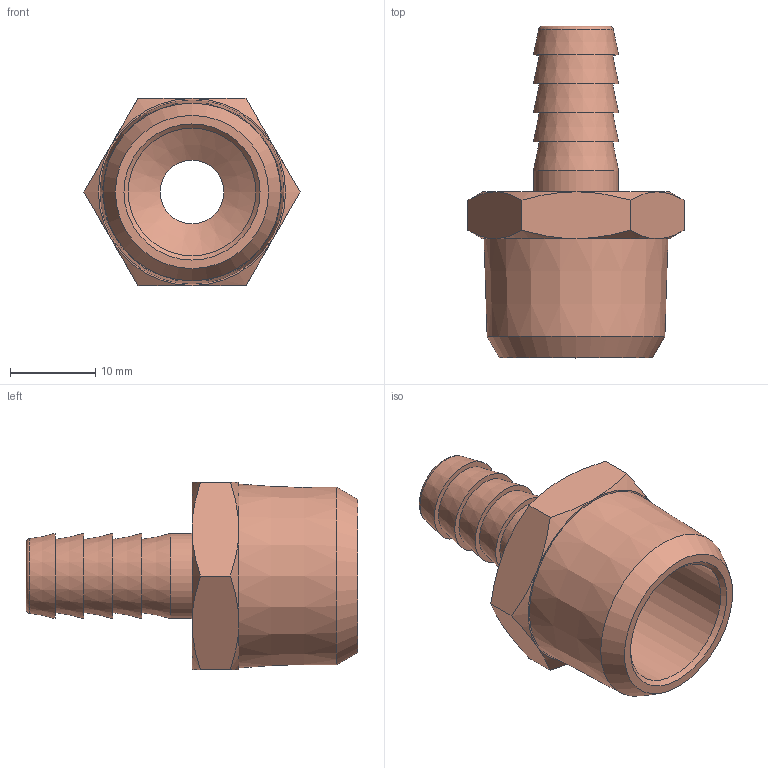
import cadquery as cq
import math


thread_length = 14.0
hex_thickness = 5.5
barb_pitch = 3.4
barb_count = 5
collar_length = 2.5

mouth_diameter = 18.0
lead_in_length = 2.5
lead_in_angle = 30.0
taper_on_diameter = 1 / 16

across_flats = 22.0
hex_chamfer_angle = 30.0

crest_diameter = 10.0
root_diameter = 8.6
tip_fillet = 0.5

bore_diameter = 15.0
bore_depth = 14.0
bore_floor_angle = 118.0
bore_mouth_chamfer = 0.5
hose_bore_diameter = 7.5

hex_start = thread_length
hex_end = hex_start + hex_thickness
collar_end = hex_end + collar_length
tip_end = collar_end + barb_count * barb_pitch


def revolve_profile(points):
    """Revolve a closed (radius, y) outline about the Y axis."""
    return cq.Workplane("XY").polyline(points).close().revolve(360, (0, 0, 0), (0, 1, 0))


def male_end():
    mouth_radius = mouth_diameter / 2
    front_radius = mouth_radius + lead_in_length * math.tan(math.radians(lead_in_angle))
    back_radius = front_radius + (thread_length - lead_in_length) * taper_on_diameter / 2
    return revolve_profile([
        (0, 0),
        (mouth_radius, 0),
        (front_radius, lead_in_length),
        (back_radius, hex_start),
        (0, hex_start),
    ])


def hexagon():
    """Hexagonal nut with corners on the X axis, both ends chamfered down to the flats."""
    flat_radius = across_flats / 2
    corner_radius = flat_radius / math.cos(math.pi / 6)
    prism = (
        cq.Workplane("XZ", origin=(0, hex_end, 0))
        .polygon(6, 2 * corner_radius)
        .extrude(hex_thickness)
    )
    chamfer_height = (corner_radius - flat_radius) * math.tan(math.radians(hex_chamfer_angle))
    envelope = revolve_profile([
        (0, hex_start),
        (flat_radius, hex_start),
        (corner_radius, hex_start + chamfer_height),
        (corner_radius, hex_end - chamfer_height),
        (flat_radius, hex_end),
        (0, hex_end),
    ])
    return prism.intersect(envelope)


def hose_barb():
    """Collar followed by barbs that each narrow from crest to root towards the tip."""
    crest_radius = crest_diameter / 2
    root_radius = root_diameter / 2
    points = [(0, hex_end), (crest_radius, hex_end)]
    for index in range(barb_count):
        barb_start = collar_end + index * barb_pitch
        points.append((crest_radius, barb_start))
        points.append((root_radius, barb_start + barb_pitch))
    points.append((0, tip_end))
    return revolve_profile(points).faces(">Y").edges().fillet(tip_fillet)


def bores():
    """Wide bore with chamfered mouth and conical floor, leading into the hose bore."""
    bore_radius = bore_diameter / 2
    hose_bore_radius = hose_bore_diameter / 2
    floor_height = (bore_radius - hose_bore_radius) / math.tan(math.radians(bore_floor_angle / 2))
    return revolve_profile([
        (0, 0),
        (bore_radius + bore_mouth_chamfer, 0),
        (bore_radius, bore_mouth_chamfer),
        (bore_radius, bore_depth),
        (hose_bore_radius, bore_depth + floor_height),
        (hose_bore_radius, tip_end),
        (0, tip_end),
    ])


result = male_end().union(hexagon()).union(hose_barb()).cut(bores())